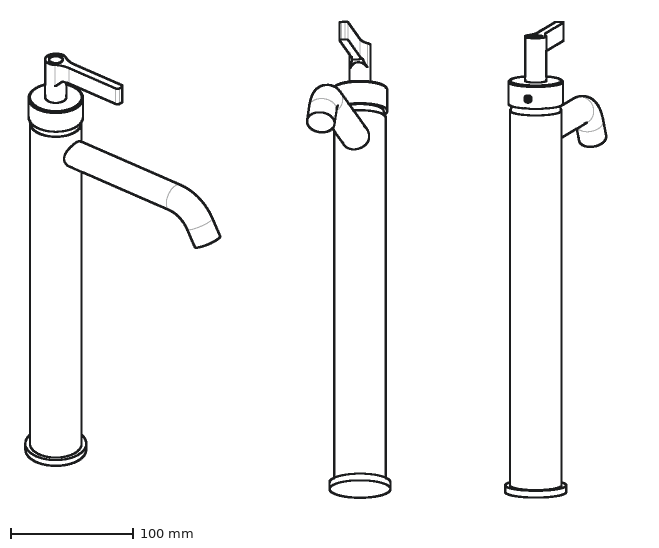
import cadquery as cq
import math

total_height = 379.0

base_radius = 25.0
base_height = 5.5
column_radius = 21.2
column_top = 317.3
spout_radius = 11.5
spout_height = 295.3
spout_straight_end = 125.5
spout_bend_radius = 30.0
spout_bend_angle = 60.0
spout_outlet_length = 16.3

neck_foot_radius = 21.0
neck_top_radius = 19.5
cap_bottom = 323.0
cap_top = 342.3
cap_radius = 22.5
cap_chamfer = 1.0

screw_height = 331.0
screw_radius = 3.0
screw_length = 7.5
screw_chamfer = 0.8
socket_radius = 1.33
socket_depth = 3.0

post_radius = 8.7
lever_height = 15.0
lever_width = 7.2
lever_end = 68.2
lever_corner_radius = 2.3
blend_end = 16.5
gusset_end = 10.5
gusset_start = 5.3
post_recess_radius = 5.5
post_recess_depth = 0.8


def cylinder(radius, bottom, top):
    return cq.Workplane("XY").workplane(offset=bottom).circle(radius).extrude(top - bottom)


def make_spout():
    angle = math.radians(spout_bend_angle)
    half_angle = angle / 2
    bend_start = (spout_straight_end, spout_height)

    def on_bend(turn):
        return (
            spout_straight_end + spout_bend_radius * math.sin(turn),
            spout_height - spout_bend_radius * (1 - math.cos(turn)),
        )

    bend_end = on_bend(angle)
    outlet = (
        bend_end[0] + spout_outlet_length * math.cos(angle),
        bend_end[1] - spout_outlet_length * math.sin(angle),
    )
    path = (
        cq.Workplane("XZ")
        .moveTo(0, spout_height)
        .lineTo(*bend_start)
        .threePointArc(on_bend(half_angle), bend_end)
        .lineTo(*outlet)
    )
    return cq.Workplane("YZ").center(0, spout_height).circle(spout_radius).sweep(path)


def make_faucet_body():
    base = cylinder(base_radius, 0, base_height)
    column = cylinder(column_radius, base_height, column_top)
    return base.union(column).union(make_spout())


def screw_blank():
    return (
        cq.Workplane("YZ", origin=(-cap_radius, 0, screw_height))
        .circle(screw_radius)
        .extrude(screw_length)
    )


def make_set_screw():
    screw = screw_blank().faces("<X").chamfer(screw_chamfer)
    return screw.faces("<X").workplane().circle(socket_radius).cutBlind(-socket_depth)


def make_cap():
    neck_profile = [
        (0, column_top),
        (neck_foot_radius, column_top),
        (neck_top_radius, cap_bottom),
        (0, cap_bottom),
    ]
    neck = cq.Workplane("XZ").polyline(neck_profile).close().revolve(360, (0, 0, 0), (0, 1, 0))
    cap = cylinder(cap_radius, cap_bottom, cap_top).faces(">Z").chamfer(cap_chamfer)
    return cap.union(neck).cut(screw_blank())


def make_lever():
    half_width = lever_width / 2
    blend_radius = (blend_end**2 + half_width**2 - post_radius**2) / (2 * (post_radius - half_width))
    center_y = half_width + blend_radius
    post_angle = math.atan2(center_y, blend_end)
    post_x = post_radius * math.cos(post_angle)
    post_y = post_radius * math.sin(post_angle)
    middle_angle = (post_angle + math.pi / 2) / 2
    middle_x = blend_end - blend_radius * math.cos(middle_angle)
    middle_y = center_y - blend_radius * math.sin(middle_angle)

    drop = gusset_end - gusset_start
    lever_bottom = total_height - lever_height
    plan = (
        cq.Workplane("XY")
        .workplane(offset=lever_bottom - drop)
        .moveTo(0, post_y)
        .lineTo(post_x, post_y)
        .threePointArc((middle_x, middle_y), (blend_end, half_width))
        .lineTo(lever_end, half_width)
        .lineTo(lever_end, -half_width)
        .lineTo(blend_end, -half_width)
        .threePointArc((middle_x, -middle_y), (post_x, -post_y))
        .lineTo(0, -post_y)
        .close()
        .extrude(lever_height + drop)
        .edges("|Z and >X")
        .fillet(lever_corner_radius)
    )
    side = (
        cq.Workplane("XZ")
        .moveTo(0, total_height)
        .lineTo(lever_end, total_height)
        .lineTo(lever_end, lever_bottom)
        .lineTo(gusset_end, lever_bottom)
        .lineTo(gusset_start, lever_bottom - drop)
        .lineTo(0, lever_bottom - drop)
        .close()
        .extrude(post_radius, both=True)
    )
    return plan.intersect(side)


def make_handle():
    post = cylinder(post_radius, cap_top, total_height)
    recess = cylinder(post_recess_radius, total_height - post_recess_depth, total_height)
    return post.union(make_lever()).cut(recess)


faucet_body = make_faucet_body()
cap = make_cap()
set_screw = make_set_screw()
handle = make_handle()

result = cq.Compound.makeCompound([faucet_body.val(), cap.val(), set_screw.val(), handle.val()])